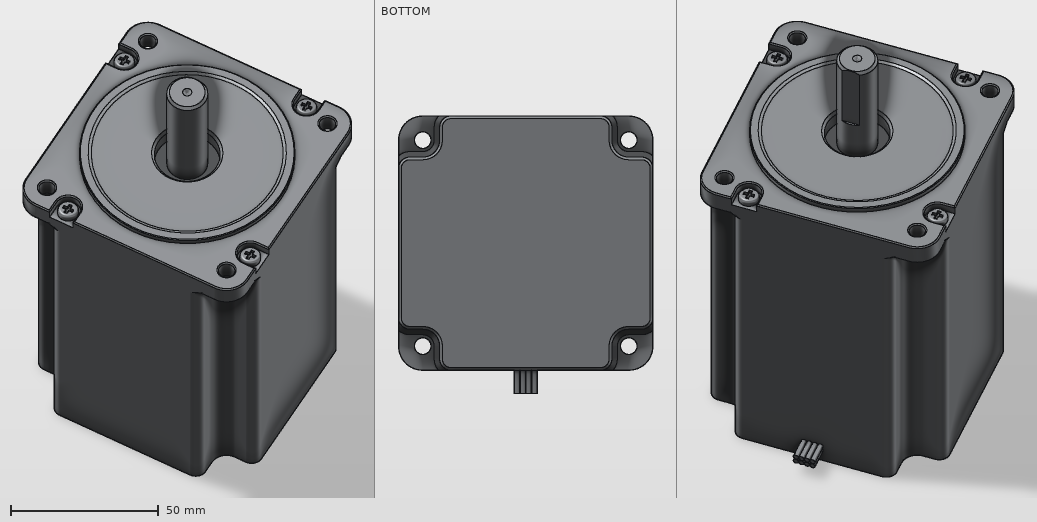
import cadquery as cq
import math

WIDTH = 86.0
HALF_WIDTH = WIDTH / 2
FLANGE_TOP = 117.4
FLANGE_BOTTOM = 110.3
FLANGE_CHAMFER = 0.5
CORNER_RADIUS = 8.2
BASE_CHAMFER = 1.0

OVERRUN = 3.1
EDGE_MARGIN = 0.2

NOTCH_SIZE = 13.9
NOTCH_INNER_RADIUS = NOTCH_SIZE - CORNER_RADIUS
NOTCH_OUTER_RADIUS = 3.9
UNDERSIDE_CHAMFER = 1.9
UNDERSIDE_FILLET = 1.5

HOLE_DIAMETER = 5.5
HOLE_CHAMFER = 0.5
HOLE_CHAMFER_ANGLE = 90
HOLE_SPACING = WIDTH - 2 * CORNER_RADIUS

PILOT_RADIUS = 36.5
PILOT_TOP = 119.5
PILOT_CHAMFER = 0.3
DISH_RADIUS = 33.5
DISH_FLOOR_RADIUS = 32.5
DISH_DEPTH = 0.5
DISH_FLOOR = PILOT_TOP - DISH_DEPTH
BORE_RADIUS = 11.1
BORE_CHAMFER = 1.0
BORE_DEPTH = 5.7
BORE_FLOOR = DISH_FLOOR - BORE_DEPTH

SHAFT_RADIUS = 7.0
SHAFT_TOP = 154.5
SHAFT_CHAMFER = 1.0
FLAT_DEPTH = 0.8
FLAT_LENGTH = 25.5
CENTRE_RADIUS = 1.5
CENTRE_DEPTH = 1.1

SCREW_OFFSET = 24.7
SCREW_FROM_AXIS = 38.3
POCKET_WIDTH = 9.0
POCKET_DEPTH = 3.2
POCKET_CHAMFER = 0.5
POCKET_FLOOR = FLANGE_TOP - POCKET_DEPTH
HEAD_RADIUS = 3.5
HEAD_CROWN_RADIUS = 2.5
HEAD_RIM_HEIGHT = 1.0
HEAD_HEIGHT = 2.2
HEAD_CROWN_BULGE = 0.7
CROSS_LENGTH = 3.7
CROSS_WIDTH = 1.1
CROSS_DEPTH = 1.2

WIRE_DIAMETER = 1.9
WIRE_PITCH = 2.0
WIRE_COLUMNS = 4
WIRE_ROWS = 2
WIRE_LENGTH = 7.9
WIRE_EMBED = 3.1
BUNDLE_HEIGHT = 6.8


def on_each_side(shape):
    """Return the shape together with its three quarter-turn copies about the shaft axis."""
    copies = shape
    for angle in (90, 180, 270):
        copies = copies.add(shape.rotate((0, 0, 0), (0, 0, 1), angle))
    return copies.combine()


def make_block():
    block = cq.Workplane("XY").box(WIDTH, WIDTH, FLANGE_TOP, centered=(True, True, False))
    block = block.edges("|Z").fillet(CORNER_RADIUS)
    return block.faces(">Z").chamfer(FLANGE_CHAMFER)


def wall_edges_at(height):
    """Selector for the notch-cutter edges at one height that lie within the housing outline."""
    reach = HALF_WIDTH + EDGE_MARGIN
    return cq.selectors.BoxSelector(
        (0, 0, height - EDGE_MARGIN), (reach, reach, height + EDGE_MARGIN)
    )


def make_corner_notch():
    """Cutter for the (+X, +Y) corner; its top edge leaves a rounded bevel under the flange."""
    wall = HALF_WIDTH - NOTCH_SIZE
    tangent = wall - NOTCH_OUTER_RADIUS
    flat_end = tangent - OVERRUN
    outside = HALF_WIDTH + OVERRUN
    outer_centre = HALF_WIDTH - NOTCH_OUTER_RADIUS
    inner_centre = wall + NOTCH_INNER_RADIUS
    outer_mid = NOTCH_OUTER_RADIUS * math.sqrt(0.5)
    inner_mid = NOTCH_INNER_RADIUS * math.sqrt(0.5)
    cutter = (
        cq.Workplane("XY")
        .moveTo(flat_end, HALF_WIDTH)
        .lineTo(tangent, HALF_WIDTH)
        .threePointArc((tangent + outer_mid, outer_centre + outer_mid), (wall, outer_centre))
        .lineTo(wall, inner_centre)
        .threePointArc((inner_centre - inner_mid, inner_centre - inner_mid), (inner_centre, wall))
        .lineTo(outer_centre, wall)
        .threePointArc((outer_centre + outer_mid, tangent + outer_mid), (HALF_WIDTH, tangent))
        .lineTo(HALF_WIDTH, flat_end)
        .lineTo(outside, flat_end)
        .lineTo(outside, outside)
        .lineTo(flat_end, outside)
        .close()
        .extrude(FLANGE_BOTTOM)
    )
    cutter = cutter.edges(wall_edges_at(FLANGE_BOTTOM)).chamfer(UNDERSIDE_CHAMFER)
    return cutter.edges(wall_edges_at(FLANGE_BOTTOM - UNDERSIDE_CHAMFER)).fillet(UNDERSIDE_FILLET)


def make_housing():
    housing = make_block().cut(on_each_side(make_corner_notch()))
    housing = housing.faces("<Z").chamfer(BASE_CHAMFER)
    return (
        housing.faces(">Z").workplane(origin=(0, 0, FLANGE_TOP))
        .rect(HOLE_SPACING, HOLE_SPACING, forConstruction=True).vertices()
        .cskHole(HOLE_DIAMETER, HOLE_DIAMETER + 2 * HOLE_CHAMFER, HOLE_CHAMFER_ANGLE)
    )


def make_pilot():
    return (
        cq.Workplane("XY").workplane(offset=FLANGE_BOTTOM)
        .circle(PILOT_RADIUS).extrude(PILOT_TOP - FLANGE_BOTTOM)
        .faces(">Z").chamfer(PILOT_CHAMFER)
    )


def make_face_recess():
    """Cutter for the shallow conical-edged dish in the pilot face and the blind bore in its floor."""
    return (
        cq.Workplane("XZ")
        .moveTo(0, BORE_FLOOR)
        .lineTo(BORE_RADIUS, BORE_FLOOR)
        .lineTo(BORE_RADIUS, DISH_FLOOR - BORE_CHAMFER)
        .lineTo(BORE_RADIUS + BORE_CHAMFER, DISH_FLOOR)
        .lineTo(DISH_FLOOR_RADIUS, DISH_FLOOR)
        .lineTo(DISH_RADIUS, PILOT_TOP)
        .lineTo(0, PILOT_TOP)
        .close()
        .revolve(360, (0, 0, 0), (0, 1, 0))
    )


def make_shaft():
    """Shaft with a flat on its +Y side and a centre-drilled end."""
    shaft = (
        cq.Workplane("XY").workplane(offset=BORE_FLOOR)
        .circle(SHAFT_RADIUS).extrude(SHAFT_TOP - BORE_FLOOR)
        .faces(">Z").chamfer(SHAFT_CHAMFER)
    )
    flat_cut = cq.Workplane("XY").box(
        2 * SHAFT_RADIUS, SHAFT_RADIUS, FLAT_LENGTH, centered=(True, False, False)
    ).translate((0, SHAFT_RADIUS - FLAT_DEPTH, SHAFT_TOP - FLAT_LENGTH))
    centre_drill = cq.Workplane(
        cq.Solid.makeCone(0, CENTRE_RADIUS, CENTRE_DEPTH, pnt=(0, 0, SHAFT_TOP - CENTRE_DEPTH))
    )
    return shaft.cut(flat_cut).cut(centre_drill)


def pocket_outline(half_width, height):
    """Outline round the screw axis, at the given height, running out past the +Y side."""
    left = SCREW_OFFSET - half_width
    right = SCREW_OFFSET + half_width
    return (
        cq.Workplane("XY").workplane(offset=height)
        .moveTo(left, HALF_WIDTH + OVERRUN)
        .lineTo(left, SCREW_FROM_AXIS)
        .threePointArc((SCREW_OFFSET, SCREW_FROM_AXIS - half_width), (right, SCREW_FROM_AXIS))
        .lineTo(right, HALF_WIDTH + OVERRUN)
        .close()
    )


def make_screw_pocket():
    """Cutter for one screw pocket with a chamfered rim."""
    half_width = POCKET_WIDTH / 2
    rim_start = FLANGE_TOP - POCKET_CHAMFER
    pocket = pocket_outline(half_width, POCKET_FLOOR).extrude(POCKET_DEPTH)
    rim = pocket_outline(half_width, rim_start).extrude(POCKET_CHAMFER, taper=-45)
    return pocket.union(rim)


def make_screw_head():
    """Crowned screw head with a cross recess, standing on the pocket floor."""
    crown_width = HEAD_RADIUS - HEAD_CROWN_RADIUS
    crown_height = HEAD_HEIGHT - HEAD_RIM_HEIGHT
    crown_mid = (
        HEAD_CROWN_RADIUS + HEAD_CROWN_BULGE * crown_width,
        HEAD_RIM_HEIGHT + HEAD_CROWN_BULGE * crown_height,
    )
    head = (
        cq.Workplane("XZ")
        .lineTo(HEAD_RADIUS, 0)
        .lineTo(HEAD_RADIUS, HEAD_RIM_HEIGHT)
        .threePointArc(crown_mid, (HEAD_CROWN_RADIUS, HEAD_HEIGHT))
        .lineTo(0, HEAD_HEIGHT)
        .close()
        .revolve(360, (0, 0, 0), (0, 1, 0))
    )
    for size_x, size_y in ((CROSS_LENGTH, CROSS_WIDTH), (CROSS_WIDTH, CROSS_LENGTH)):
        slot = cq.Workplane("XY").box(size_x, size_y, CROSS_DEPTH, centered=(True, True, False))
        head = head.cut(slot.translate((0, 0, HEAD_HEIGHT - CROSS_DEPTH)))
    return head.translate((SCREW_OFFSET, SCREW_FROM_AXIS, POCKET_FLOOR))


def make_wires():
    """Rows of straight wires leaving the +Y side; a narrow gap separates neighbours."""
    return (
        cq.Workplane("XZ", origin=(0, HALF_WIDTH + WIRE_LENGTH, BUNDLE_HEIGHT))
        .rarray(WIRE_PITCH, WIRE_PITCH, WIRE_COLUMNS, WIRE_ROWS)
        .circle(WIRE_DIAMETER / 2).extrude(WIRE_LENGTH + WIRE_EMBED)
    )


result = (
    make_housing()
    .union(make_pilot())
    .cut(make_face_recess())
    .union(make_shaft())
    .cut(on_each_side(make_screw_pocket()))
    .union(on_each_side(make_screw_head()))
    .union(make_wires())
)